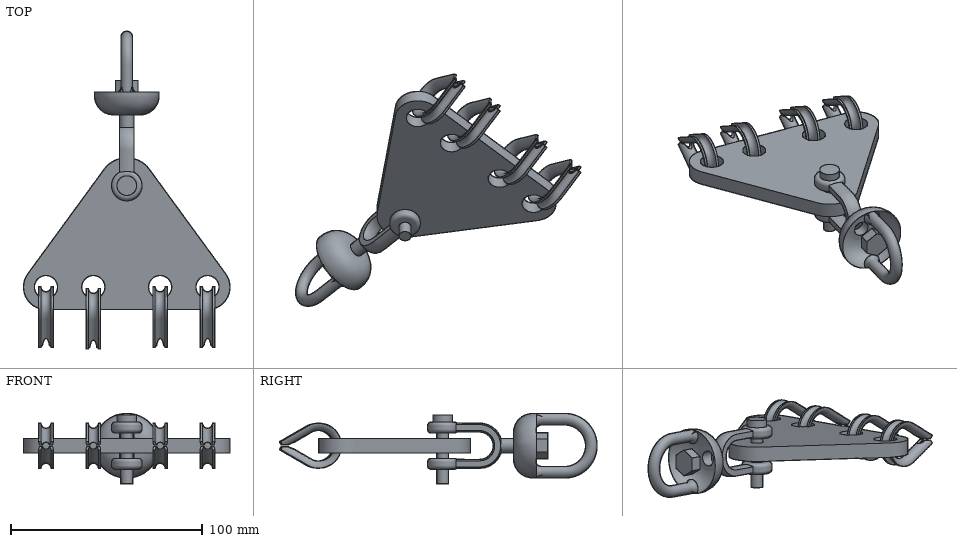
import cadquery as cq
import math


plate_thickness = 7.7
plate_top_radius = 14.6
plate_corner_radius = 11.8
corner_x = 42.3
corner_y = -53.0
rope_hole_radius = 6.0
outer_hole_x = corner_x
inner_hole_x = 17.5

pin_diameter = 6.3
pin_head_diameter = 10.3
pin_head_top = 16.1
pin_bottom = -20.0

arm_width = 7.8
arm_thickness = 4.8
arm_side_height = 3.2
arm_offset = 9.5
bend_y = 19.3
ear_radius = 8.0
ear_thickness = 5.8
ear_fillet = 2.0

stem_diameter = arm_width
bell_front_y = 37.0
bell_back_y = 49.0
bell_radius = 17.0
bell_rim_width = 2.0
nut_across_flats = 11.8
nut_height = 6.0
eye_rod_diameter = 6.2
eye_rod_radius = eye_rod_diameter / 2
eye_bend_radius = bell_radius - eye_rod_radius
eye_bend_y = 63.9
flare_height = 2.8
flare_width = 1.3
flare_base_z = 16.3
flare_top_z = 15.3

thimble_width = 7.7
thimble_wall = 1.25
thimble_bend_radius = 11.8
thimble_leg_angle = math.radians(30)
thimble_reach = 20
thimble_gap = 0.8
thimble_bore_radius = 1.8
thimble_y = -64.7
stagger = 0.8
thimble_places = [
    (-outer_hole_x, thimble_y),
    (-inner_hole_x, thimble_y - stagger),
    (inner_hole_x, thimble_y),
    (outer_hole_x, thimble_y),
]


def y_cylinder(radius, start_y, end_y):
    """Cylinder about the Y axis."""
    return cq.Workplane("XZ", origin=(0, start_y, 0)).circle(radius).extrude(start_y - end_y)


def z_cylinder(diameter, bottom, top):
    """Cylinder about the Z axis."""
    return cq.Workplane("XY").workplane(offset=bottom).circle(diameter / 2).extrude(top - bottom)


def make_plate():
    """Rounded triangle with a pin hole at the top and a row of rope holes along the bottom."""
    side_length = math.hypot(corner_x, corner_y)
    side_direction = math.atan2(corner_y, corner_x)
    lean = math.acos((plate_top_radius - plate_corner_radius) / side_length)
    normal_angle = side_direction + lean
    normal_x = math.cos(normal_angle)
    normal_y = math.sin(normal_angle)

    top_x = plate_top_radius * normal_x
    top_y = plate_top_radius * normal_y
    side_x = corner_x + plate_corner_radius * normal_x
    side_y = corner_y + plate_corner_radius * normal_y
    bottom_y = corner_y - plate_corner_radius

    middle_angle = (normal_angle - math.pi / 2) / 2
    middle_x = corner_x + plate_corner_radius * math.cos(middle_angle)
    middle_y = corner_y + plate_corner_radius * math.sin(middle_angle)

    rope_holes = [(x, corner_y) for x, _ in thimble_places]
    return (
        cq.Workplane("XY")
        .workplane(offset=-plate_thickness / 2)
        .moveTo(-top_x, top_y)
        .threePointArc((0, plate_top_radius), (top_x, top_y))
        .lineTo(side_x, side_y)
        .threePointArc((middle_x, middle_y), (corner_x, bottom_y))
        .lineTo(-corner_x, bottom_y)
        .threePointArc((-middle_x, middle_y), (-side_x, side_y))
        .close()
        .extrude(plate_thickness)
        .cut(z_cylinder(pin_diameter, -plate_thickness, plate_thickness))
        .cut(
            cq.Workplane("XY")
            .workplane(offset=-plate_thickness)
            .pushPoints(rope_holes)
            .circle(rope_hole_radius)
            .extrude(2 * plate_thickness)
        )
    )


def make_clevis():
    """U-shaped bar with crowned inner and outer faces, ending in two rounded ears."""
    path = (
        cq.Workplane("YZ")
        .moveTo(0, -arm_offset)
        .lineTo(bend_y, -arm_offset)
        .threePointArc((bend_y + arm_offset, 0), (bend_y, arm_offset))
        .lineTo(0, arm_offset)
    )
    half_width = arm_width / 2
    half_side = arm_side_height / 2
    clevis = (
        cq.Workplane("XZ", origin=(0, 0, -arm_offset))
        .moveTo(-half_width, -half_side)
        .threePointArc((0, -arm_thickness / 2), (half_width, -half_side))
        .lineTo(half_width, half_side)
        .threePointArc((0, arm_thickness / 2), (-half_width, half_side))
        .close()
        .sweep(path)
    )
    for ear_z in (-arm_offset, arm_offset):
        ear = z_cylinder(2 * ear_radius, ear_z - ear_thickness / 2, ear_z + ear_thickness / 2)
        clevis = clevis.union(ear.edges("%CIRCLE").fillet(ear_fillet))
    return clevis


def make_pin():
    """Headed pin resting on the upper ear."""
    head_bottom = arm_offset + ear_thickness / 2
    shank = z_cylinder(pin_diameter, pin_bottom, head_bottom)
    head = z_cylinder(pin_head_diameter, head_bottom, pin_head_top)
    return shank.union(head)


def make_bell():
    """Dome with a flat front, a quarter-round side and a short straight rim."""
    round_end_y = bell_back_y - bell_rim_width
    round_radius = round_end_y - bell_front_y
    flat_radius = bell_radius - round_radius
    diagonal = round_radius * math.sqrt(0.5)
    return (
        cq.Workplane("XY")
        .moveTo(0, bell_front_y)
        .lineTo(flat_radius, bell_front_y)
        .threePointArc((flat_radius + diagonal, round_end_y - diagonal), (bell_radius, round_end_y))
        .lineTo(bell_radius, bell_back_y)
        .lineTo(0, bell_back_y)
        .close()
        .revolve(360, (0, 0, 0), (0, 1, 0))
    )


def make_nut():
    """Hexagon on the back of the bell, with two corners pointing along Z."""
    back = cq.Plane(origin=(0, bell_back_y, 0), xDir=(0, 0, 1), normal=(0, 1, 0))
    across_corners = nut_across_flats / math.cos(math.pi / 6)
    return cq.Workplane(back).polygon(6, across_corners).extrude(nut_height)


def make_eye():
    """Round rod bent into a U, with both feet flared where they meet the bell."""
    path = (
        cq.Workplane("YZ")
        .moveTo(bell_back_y, -eye_bend_radius)
        .lineTo(eye_bend_y, -eye_bend_radius)
        .threePointArc((eye_bend_y + eye_bend_radius, 0), (eye_bend_y, eye_bend_radius))
        .lineTo(bell_back_y, eye_bend_radius)
    )
    eye = (
        cq.Workplane("XZ", origin=(0, bell_back_y, -eye_bend_radius))
        .circle(eye_rod_radius)
        .sweep(path)
    )
    flare_limit = (
        cq.Workplane("YZ")
        .moveTo(bell_back_y, -flare_base_z)
        .lineTo(bell_back_y + flare_height, -flare_top_z)
        .lineTo(bell_back_y + flare_height, flare_top_z)
        .lineTo(bell_back_y, flare_base_z)
        .close()
        .extrude(bell_radius, both=True)
    )
    flare_arc_radius = (flare_height**2 + flare_width**2) / (2 * flare_width)
    half_arc_angle = math.asin(flare_height / flare_arc_radius) / 2
    arc_middle_x = eye_rod_radius + flare_arc_radius * (1 - math.cos(half_arc_angle))
    arc_middle_y = flare_height - flare_arc_radius * math.sin(half_arc_angle)
    for foot_z in (-eye_bend_radius, eye_bend_radius):
        flare = (
            cq.Workplane("XY", origin=(0, bell_back_y, foot_z))
            .moveTo(0, flare_height)
            .lineTo(eye_rod_radius, flare_height)
            .threePointArc((arc_middle_x, arc_middle_y), (eye_rod_radius + flare_width, 0))
            .lineTo(0, 0)
            .close()
            .revolve(360, (0, 0, 0), (0, 1, 0))
        )
        eye = eye.union(flare.intersect(flare_limit))
    return eye


def make_swivel():
    """Eye, bell, nut, stem, clevis and pin as one solid."""
    stem = y_cylinder(stem_diameter / 2, bend_y + arm_offset, bell_front_y)
    return make_clevis().union(make_pin()).union(stem).union(make_bell()).union(make_nut()).union(make_eye())


def make_thimble(x, y):
    """Half-round channel, open outward, bent into a teardrop around a bend centre at (x, y)."""
    outer_radius = thimble_width / 2
    groove_radius = outer_radius - thimble_wall
    bend_end_y = -thimble_bend_radius * math.sin(thimble_leg_angle)
    bend_end_z = thimble_bend_radius * math.cos(thimble_leg_angle)
    leg_length = (thimble_reach + bend_end_y) / math.cos(thimble_leg_angle)
    leg_y = -math.cos(thimble_leg_angle)
    leg_z = -math.sin(thimble_leg_angle)

    def channel(plane):
        """Half-ring section with its open side facing away from the bend centre."""
        return (
            cq.Workplane(plane)
            .moveTo(-outer_radius, 0)
            .threePointArc((0, -outer_radius), (outer_radius, 0))
            .lineTo(groove_radius, 0)
            .threePointArc((0, -groove_radius), (-groove_radius, 0))
            .close()
        )

    bend_start = cq.Plane(origin=(0, bend_end_y, bend_end_z), xDir=(1, 0, 0), normal=(0, leg_y, leg_z))
    bend_angle = 180 + 2 * math.degrees(thimble_leg_angle)
    bend = channel(bend_start).revolve(bend_angle, (0, -thimble_bend_radius, 0), (-1, -thimble_bend_radius, 0))

    leg = channel(bend_start).extrude(leg_length)
    trim = (
        cq.Workplane("XY")
        .workplane(offset=thimble_gap / 2)
        .rect(2 * thimble_width, 2 * thimble_reach)
        .extrude(-thimble_width)
    )
    leg = leg.cut(trim).cut(y_cylinder(thimble_bore_radius, -thimble_reach, 0))
    thimble = bend.union(leg).union(leg.mirror("XY"))
    return thimble.translate((x, y, 0))


plate = make_plate()
swivel = make_swivel()
thimbles = [make_thimble(x, y) for x, y in thimble_places]
result = cq.Compound.makeCompound([plate.val(), swivel.val(), *[thimble.val() for thimble in thimbles]])